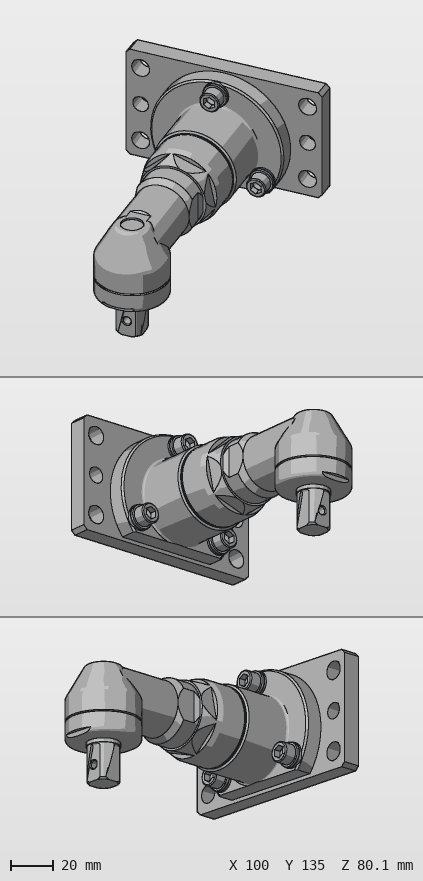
import cadquery as cq
import math

OVERALL_LENGTH = 135.0

PLATE_WIDTH = 100.0
PLATE_HEIGHT = 58.0
PLATE_THICKNESS = 9.0
PLATE_CENTER_Z = 6.0
PLATE_CORNER_CHAMFER = 2.0
PLATE_HOLE_X = 42.5
PLATE_HOLE_PITCH_Z = 20.0
CORNER_HOLE_DIAMETER = 9.0
MIDDLE_HOLE_DIAMETER = 8.0

FLANGE_DIAMETER = 67.9
FLANGE_FACE = 18.0
FLANGE_CHAMFER = 1.0
FLANGE_FLAT_Z = -21.2

TUBE_DIAMETER = 42.1
TUBE_ROOT_RADIUS = 1.1
TUBE_END = 43.7
TUBE_END_CHAMFER_LENGTH = 0.7
TUBE_END_CHAMFER_DEPTH = 1.1
GROOVE_DIAMETER = 39.0
NUT_START = 44.5
NUT_DIAMETER = 40.0
NUT_CONE_START = 58.3
NUT_CONE_ANGLE = 15.0
NUT_FLATS_START = 61.5
NUT_END = 69.4
NUT_ACROSS_FLATS = 33.9
NUT_ROTATION = 12.0

ARM_DIAMETER = 28.0
NECK_DIAMETER = 32.0
NECK_CHAMFER_START = 78.6
NECK_CHAMFER_END = 82.2
NECK_FLAT_START = 72.0
NECK_RAMP_HEIGHT = 1.5

HEAD_DIAMETER = 36.0
HEAD_AXIS = OVERALL_LENGTH - HEAD_DIAMETER / 2
HEAD_TOP_Z = 13.0
HEAD_TOP_DIAMETER = 17.1
HEAD_TOP_FILLET = 2.7
HEAD_SHOULDER_Z = -3.6
HEAD_SHOULDER_FILLET = 3.4
HEAD_GROOVE_TOP_Z = -14.5
HEAD_GROOVE_WIDTH = 0.8
HEAD_GROOVE_DEPTH = 0.7
HEAD_BOTTOM_Z = -25.1
HEAD_BOTTOM_FILLET = 2.3
HEAD_FLAT_HEIGHT = 2.4
HEAD_ACROSS_FLATS = 32.3
HEAD_RECESS_DIAMETER = 11.0
HEAD_RECESS_DEPTH = 1.0
ARM_RELIEF_FLOOR_START = 107.0

DRIVE_COLLAR_DIAMETER = 16.2
DRIVE_COLLAR_Z = -27.0
DRIVE_DIAMETER = 15.5
DRIVE_ACROSS_FLATS = 12.7
DRIVE_RUNOUT_RADIUS = 1.8
DRIVE_END_Z = -45.1
DRIVE_END_CHAMFER = 1.0
DRIVE_SLANT_OFFSET = 4.7
DRIVE_PIN_Z = -37.0
DRIVE_PIN_DIAMETER = 3.9
DRIVE_PIN_MOUTH_DIAMETER = 4.9

SCREW_COUNT = 3
SCREW_CIRCLE_RADIUS = 27.4
WASHER_DIAMETER = 12.5
WASHER_END = 19.0
SPRING_WASHER_DIAMETER = 12.0
SPRING_WASHER_END = 20.4
SCREW_HEAD_DIAMETER = 10.0
SCREW_HEAD_END = 26.6
SCREW_HEAD_CHAMFER = 0.5
SOCKET_CORNER_DIAMETER = 6.3
SOCKET_DEPTH = 3.4
SOCKET_POINT_DEPTH = 1.5

OVERLAP = 1.4


def across(station):
    """Workplane square to the arm, local +Y up and extrusion toward -Y."""
    return cq.Workplane("XZ", origin=(0, -station, 0))


def arm_disc(diameter, start, end, x=0.0, z=0.0):
    return across(start).center(x, z).circle(diameter / 2).extrude(end - start)


def make_plate():
    plate = across(0).center(0, PLATE_CENTER_Z).rect(PLATE_WIDTH, PLATE_HEIGHT).extrude(PLATE_THICKNESS)
    plate = plate.edges("|Y").chamfer(PLATE_CORNER_CHAMFER)
    for row in (-1, 0, 1):
        diameter = CORNER_HOLE_DIAMETER if row else MIDDLE_HOLE_DIAMETER
        z = PLATE_CENTER_Z + row * PLATE_HOLE_PITCH_Z
        for x in (-PLATE_HOLE_X, PLATE_HOLE_X):
            plate = plate.cut(arm_disc(diameter, 0, PLATE_THICKNESS, x, z))
    return plate


def make_flange():
    flange = arm_disc(FLANGE_DIAMETER, PLATE_THICKNESS, FLANGE_FACE)
    return flange.faces("<Y").chamfer(FLANGE_CHAMFER)


def make_flange_flat_cutter():
    """Trims the flange and the flare at the tube's root along the lower flat."""
    length = FLANGE_FACE + TUBE_ROOT_RADIUS - PLATE_THICKNESS
    cutter = across(PLATE_THICKNESS).center(0, FLANGE_FLAT_Z - FLANGE_DIAMETER / 2)
    return cutter.rect(FLANGE_DIAMETER, FLANGE_DIAMETER).extrude(length)


def make_stem():
    """Tube, groove, nut, neck and arm as one turned body."""
    tube = TUBE_DIAMETER / 2
    nut = NUT_DIAMETER / 2
    nut_tip = nut - (NUT_END - NUT_CONE_START) * math.tan(math.radians(NUT_CONE_ANGLE))
    neck = NECK_DIAMETER / 2
    arm = ARM_DIAMETER / 2
    outline = [
        (tube, TUBE_END - TUBE_END_CHAMFER_LENGTH),
        (tube - TUBE_END_CHAMFER_DEPTH, TUBE_END),
        (GROOVE_DIAMETER / 2, TUBE_END),
        (GROOVE_DIAMETER / 2, NUT_START),
        (nut, NUT_START),
        (nut, NUT_CONE_START),
        (nut_tip, NUT_END),
        (neck, NUT_END),
        (neck, NECK_CHAMFER_START),
        (arm, NECK_CHAMFER_END),
        (arm, HEAD_AXIS),
        (0, HEAD_AXIS),
    ]
    flare = tube + TUBE_ROOT_RADIUS
    profile = (
        cq.Workplane("XY")
        .moveTo(0, -FLANGE_FACE + OVERLAP)
        .lineTo(flare, -FLANGE_FACE + OVERLAP)
        .lineTo(flare, -FLANGE_FACE)
        .radiusArc((tube, -FLANGE_FACE - TUBE_ROOT_RADIUS), -TUBE_ROOT_RADIUS)
    )
    for radius, station in outline:
        profile = profile.lineTo(radius, -station)
    return profile.close().revolve(360, (0, 0), (0, 1))


def make_nut_flat_cutter():
    corner_diameter = NUT_ACROSS_FLATS / math.cos(math.pi / 6)
    ring = arm_disc(NUT_DIAMETER + OVERLAP, NUT_FLATS_START, NUT_END)
    hexagon = across(NUT_FLATS_START).polygon(6, corner_diameter).extrude(NUT_END - NUT_FLATS_START)
    hexagon = hexagon.rotate((0, 0, 0), (0, -1, 0), NUT_ROTATION - 30)
    return ring.cut(hexagon)


def make_neck_flat_cutter(side):
    """Flat tangent to the arm, reached from the nut along a short ramp."""
    flat_x = ARM_DIAMETER / 2
    outer_x = NECK_DIAMETER / 2 + OVERLAP
    profile = [
        (side * outer_x, -NUT_END),
        (side * (flat_x + NECK_RAMP_HEIGHT), -NUT_END),
        (side * flat_x, -NECK_FLAT_START),
        (side * flat_x, -NECK_CHAMFER_END),
        (side * outer_x, -NECK_CHAMFER_END),
    ]
    return cq.Workplane("XY").polyline(profile).close().extrude(NECK_DIAMETER / 2, both=True)


def make_screw(angle):
    x = SCREW_CIRCLE_RADIUS * math.cos(angle)
    z = SCREW_CIRCLE_RADIUS * math.sin(angle)
    head = arm_disc(SCREW_HEAD_DIAMETER, FLANGE_FACE, SCREW_HEAD_END, x, z)
    head = head.faces("<Y").chamfer(SCREW_HEAD_CHAMFER)
    socket_floor = SCREW_HEAD_END - SOCKET_DEPTH
    socket = across(socket_floor).center(x, z).transformed(rotate=(0, 0, 90))
    socket = socket.polygon(6, SOCKET_CORNER_DIAMETER).extrude(SOCKET_DEPTH)
    point_radius = SOCKET_CORNER_DIAMETER / 2 * math.cos(math.pi / 6)
    point = cq.Workplane(
        cq.Solid.makeCone(
            point_radius, 0, SOCKET_POINT_DEPTH, cq.Vector(x, -socket_floor, z), cq.Vector(0, 1, 0)
        )
    )
    washer = arm_disc(WASHER_DIAMETER, FLANGE_FACE - OVERLAP, WASHER_END, x, z)
    spring_washer = arm_disc(SPRING_WASHER_DIAMETER, FLANGE_FACE, SPRING_WASHER_END, x, z)
    return head.union(washer).union(spring_washer).cut(socket).cut(point)


def head_disc(diameter, bottom, top):
    return cq.Workplane("XY", origin=(0, -HEAD_AXIS, bottom)).circle(diameter / 2).extrude(top - bottom)


def make_head():
    """Conical top with rounded edges over a cylinder that has a V groove and two bottom flats."""
    radius = HEAD_DIAMETER / 2
    profile = [
        (0, HEAD_BOTTOM_Z),
        (radius, HEAD_BOTTOM_Z),
        (radius, HEAD_GROOVE_TOP_Z - HEAD_GROOVE_WIDTH),
        (radius - HEAD_GROOVE_DEPTH, HEAD_GROOVE_TOP_Z - HEAD_GROOVE_WIDTH / 2),
        (radius, HEAD_GROOVE_TOP_Z),
        (radius, HEAD_SHOULDER_Z),
        (HEAD_TOP_DIAMETER / 2, HEAD_TOP_Z),
        (0, HEAD_TOP_Z),
    ]
    head = cq.Workplane("XZ").polyline(profile).close().revolve(360, (0, 0), (0, 1))
    head = head.translate((0, -HEAD_AXIS, 0))
    head = head.faces(">Z").edges().fillet(HEAD_TOP_FILLET)
    shoulder = cq.selectors.BoxSelector(
        (-radius, -HEAD_AXIS - radius, HEAD_SHOULDER_Z - OVERLAP),
        (radius + OVERLAP, -HEAD_AXIS + radius, HEAD_SHOULDER_Z + OVERLAP),
    )
    head = head.edges("%CIRCLE").edges(shoulder).fillet(HEAD_SHOULDER_FILLET)
    head = head.faces("<Z").edges().fillet(HEAD_BOTTOM_FILLET)

    flat_top = HEAD_BOTTOM_Z + HEAD_FLAT_HEIGHT
    flats = head_disc(HEAD_DIAMETER + OVERLAP, HEAD_BOTTOM_Z, flat_top)
    flats = flats.cut(
        cq.Workplane("XY", origin=(0, -HEAD_AXIS, HEAD_BOTTOM_Z))
        .rect(2 * HEAD_DIAMETER, HEAD_ACROSS_FLATS)
        .extrude(HEAD_FLAT_HEIGHT)
    )
    return head.cut(flats)


def make_arm_relief():
    """Clears the top of the arm down to the head's top face, starting with a 45 degree slope."""
    height = ARM_DIAMETER / 2
    profile = [
        (-ARM_RELIEF_FLOOR_START, HEAD_TOP_Z),
        (-HEAD_AXIS, HEAD_TOP_Z),
        (-HEAD_AXIS, HEAD_TOP_Z + height),
        (-ARM_RELIEF_FLOOR_START + height, HEAD_TOP_Z + height),
    ]
    return cq.Workplane("YZ").polyline(profile).close().extrude(ARM_DIAMETER / 2, both=True)


def make_head_recess():
    return head_disc(HEAD_RECESS_DIAMETER, HEAD_TOP_Z - HEAD_RECESS_DEPTH, HEAD_TOP_Z)


def make_drive_flat_cutter():
    """Tool for the -Y flat: rounded runout at the top, one upright side and one slanted side."""
    flat = DRIVE_ACROSS_FLATS / 2
    outer = DRIVE_COLLAR_DIAMETER / 2 + OVERLAP
    runout = DRIVE_RUNOUT_RADIUS
    side = (
        cq.Workplane("YZ")
        .moveTo(-flat, DRIVE_END_Z - OVERLAP)
        .lineTo(-flat, DRIVE_COLLAR_Z - runout)
        .radiusArc((-flat - runout, DRIVE_COLLAR_Z), -runout)
        .lineTo(-outer, DRIVE_COLLAR_Z)
        .lineTo(-outer, DRIVE_END_Z - OVERLAP)
        .close()
        .extrude(DRIVE_DIAMETER, both=True)
    )
    front = (
        cq.Workplane("XZ")
        .polyline(
            [
                (0, DRIVE_COLLAR_Z),
                (DRIVE_DIAMETER, DRIVE_COLLAR_Z),
                (DRIVE_DIAMETER, DRIVE_END_Z),
                (-DRIVE_SLANT_OFFSET, DRIVE_END_Z),
            ]
        )
        .close()
        .extrude(outer)
    )
    return side.intersect(front)


def make_drive():
    collar = head_disc(DRIVE_COLLAR_DIAMETER, DRIVE_COLLAR_Z, HEAD_BOTTOM_Z + OVERLAP)
    shank = head_disc(DRIVE_DIAMETER, DRIVE_END_Z, DRIVE_COLLAR_Z)
    shank = shank.faces("<Z").chamfer(DRIVE_END_CHAMFER)
    cutter = make_drive_flat_cutter()
    for turn in range(4):
        turned = cutter.rotate((0, 0, 0), (0, 0, 1), 90 * turn)
        shank = shank.cut(turned.translate((0, -HEAD_AXIS, 0)))

    half_width = DRIVE_ACROSS_FLATS / 2
    pin_hole = arm_disc(
        DRIVE_PIN_DIAMETER, HEAD_AXIS - DRIVE_DIAMETER, HEAD_AXIS + DRIVE_DIAMETER, z=DRIVE_PIN_Z
    )
    mouth_depth = (DRIVE_PIN_MOUTH_DIAMETER - DRIVE_PIN_DIAMETER) / 2
    mouth = (
        across(HEAD_AXIS + half_width - mouth_depth)
        .center(0, DRIVE_PIN_Z)
        .circle(DRIVE_PIN_DIAMETER / 2)
        .workplane(offset=mouth_depth)
        .circle(DRIVE_PIN_MOUTH_DIAMETER / 2)
        .loft()
    )
    mouth = mouth.union(
        arm_disc(DRIVE_PIN_MOUTH_DIAMETER, HEAD_AXIS + half_width, HEAD_AXIS + DRIVE_DIAMETER, z=DRIVE_PIN_Z)
    )
    return collar.union(shank).cut(pin_hole).cut(mouth)


stem = make_stem().cut(make_nut_flat_cutter())
for side in (-1, 1):
    stem = stem.cut(make_neck_flat_cutter(side))
stem = stem.cut(make_arm_relief())

flanged_arm = make_flange().union(stem).cut(make_flange_flat_cutter())
result = make_plate().union(flanged_arm).union(make_head())
result = result.cut(make_head_recess()).union(make_drive())

for index in range(SCREW_COUNT):
    result = result.union(make_screw(math.pi / 2 + index * 2 * math.pi / SCREW_COUNT))